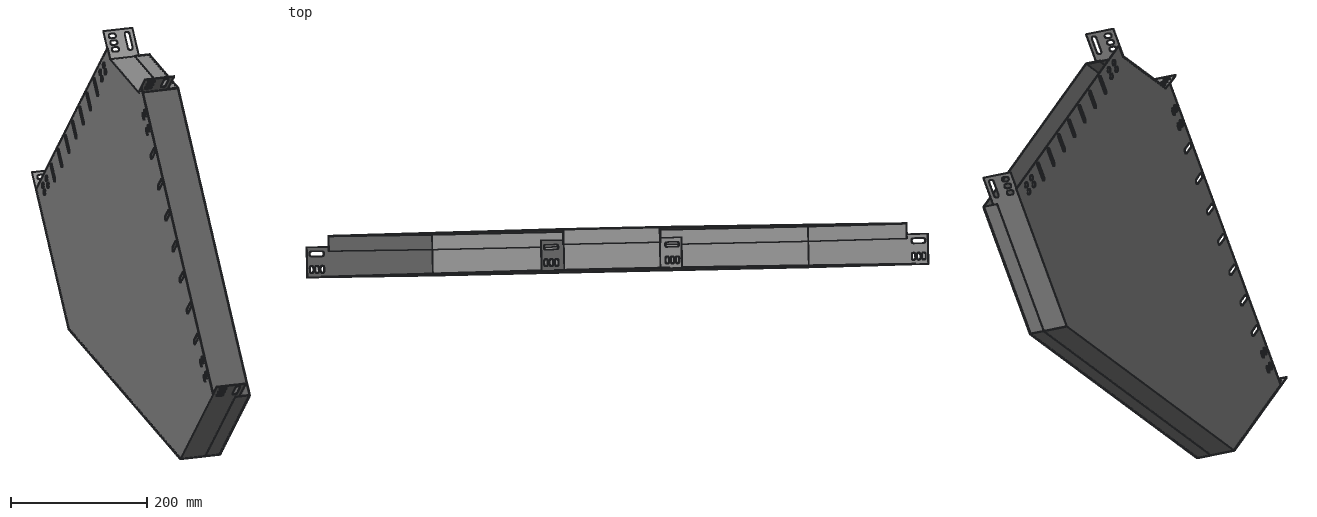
import cadquery as cq
import math


end_width = 501.5
inner_chord = 141.0
inner_straight = 18.0
outer_straight = 228.0
bend_half_angle = 22.5
sheet = 1.4

tab_height = 45.0
lid_height = 61.0
wall_height = 38.0
lid_setback = 17.0
tab_length = 27.0

slot_length = 29.0
slot_width = 7.0
base_slot_count = 7
base_slot_pitch = 50.0
base_slot_setback = 18.0

hole_length = 11.0
hole_width = 7.0
hole_pitch = 11.0
base_hole_positions = (188.5, 213.0)
base_hole_setback = 11.0
base_hole_setbacks = (base_hole_setback, base_hole_setback + hole_pitch)

tab_hole_height = 12.0
tab_slot_height = 35.0
tab_pattern_center = 7.0
tab_hole_count = 3

tilt_x = -0.4
tilt_y = -1.42
tilt_z = 1.26

end_center_x = -(inner_chord / 2 + (inner_straight + end_width / 2) * math.sqrt(0.5))
end_center = (end_center_x, 0, 0)
along_end = (1, 0, 1)
out_of_end = (-1, 0, 1)
end_plane = cq.Plane(origin=end_center, xDir=along_end, normal=(0, -1, 0))
tab_plane = cq.Plane(origin=end_center, xDir=out_of_end, normal=along_end)


def left_half(wall_offset, end_offset, bottom, top):
    """Left half of the bend outline as a prism; the offsets move the walls and the open end outward."""
    half_width = end_width / 2 + wall_offset
    bend_shift = wall_offset * math.tan(math.radians(bend_half_angle))
    left_points = [
        (-half_width, -outer_straight - bend_shift),
        (-half_width, end_offset),
        (half_width, end_offset),
        (half_width, -inner_straight + bend_shift),
    ]
    corners = [end_plane.toWorldCoords(point) for point in left_points]
    outline = [(0, corners[0].z)]
    outline += [(corner.x, corner.z) for corner in corners]
    outline += [(0, corners[-1].z)]
    return cq.Workplane("XZ", origin=(0, bottom, 0)).polyline(outline).close().extrude(bottom - top)


def mirrored(half):
    """Join a left half to its mirror image."""
    return half.union(half.mirror("YZ"))


def base_openings():
    """Slots and pairs of short holes through the base beside the left open end."""
    middle = (base_slot_count - 1) / 2
    slot_points = [((i - middle) * base_slot_pitch, -base_slot_setback) for i in range(base_slot_count)]
    hole_points = [
        (side * position, -setback)
        for side in (-1, 1)
        for position in base_hole_positions
        for setback in base_hole_setbacks
    ]
    slots = cq.Workplane(end_plane).pushPoints(slot_points).slot2D(slot_length, slot_width, 90)
    holes = cq.Workplane(end_plane).pushPoints(hole_points).slot2D(hole_length, hole_width)
    return slots.extrude(-sheet).union(holes.extrude(-sheet))


def tab_openings():
    """One slot and a row of short holes through both tabs of the left open end."""
    middle = (tab_hole_count - 1) / 2
    hole_points = [
        (tab_pattern_center + (i - middle) * hole_pitch, -tab_hole_height) for i in range(tab_hole_count)
    ]
    slot_point = (tab_pattern_center, -tab_slot_height)
    slots = cq.Workplane(tab_plane).pushPoints([slot_point]).slot2D(slot_length, slot_width)
    holes = cq.Workplane(tab_plane).pushPoints(hole_points).slot2D(hole_length, hole_width, 90)
    return slots.extrude(end_width, both=True).union(holes.extrude(end_width, both=True))


def tray():
    """Base sheet with bent-up walls that carry the lid and run past the open ends as higher tabs."""
    base = left_half(0, 0, 0, sheet)
    walls = left_half(0, tab_length, 0, tab_height).cut(left_half(-sheet, 2 * tab_length, 0, tab_height))
    walls = walls.cut(left_half(sheet, -lid_setback, wall_height, tab_height))
    half = base.union(walls).cut(base_openings()).cut(tab_openings())
    return mirrored(half)


def lid():
    """Cover sheet with a skirt that stands flush on the tray walls."""
    cover = left_half(0, -lid_setback, wall_height, lid_height)
    half = cover.cut(left_half(-sheet, 0, wall_height, lid_height - sheet))
    return mirrored(half)


def tilted(body):
    """Turn a body from its upright position into its final attitude."""
    origin = (0, 0, 0)
    body = body.rotate(origin, (1, 0, 0), tilt_x)
    body = body.rotate(origin, (0, 1, 0), tilt_y)
    return body.rotate(origin, (0, 0, 1), tilt_z)


tray_body = tilted(tray())
lid_body = tilted(lid())

result = cq.Compound.makeCompound([tray_body.solids().val(), lid_body.solids().val()])